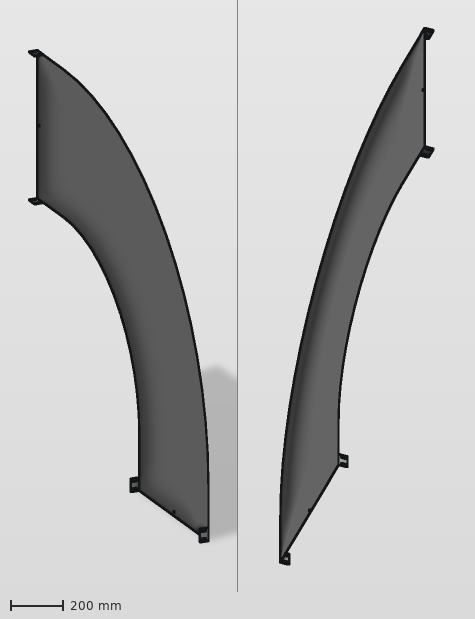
import cadquery as cq

overall = 1495.0
depth = 37.0
sheet = 1.0

width = 603.0
inner_radius = 661.0
end_setback = 0.3
outer_edge = overall - sheet
inner_edge = outer_edge - width
outer_radius = inner_radius + width
bend_start = inner_edge - inner_radius

hole_diameter = 7.0
hole_inset = 16.0

tab_length = 55.0
tab_corner = 5.0
slot_length = 20.0
slot_width = 9.0
slot_spacing = 36.0
slot_from_front = 16.0


def plate():
    """Quarter bend with a straight run at each end; front face on Y = 0."""
    return (
        cq.Workplane("XZ")
        .moveTo(end_setback, outer_edge)
        .lineTo(bend_start, outer_edge)
        .radiusArc((outer_edge, bend_start), outer_radius)
        .lineTo(outer_edge, end_setback)
        .lineTo(inner_edge, end_setback)
        .lineTo(inner_edge, bend_start)
        .radiusArc((bend_start, inner_edge), -inner_radius)
        .lineTo(end_setback, inner_edge)
        .close()
        .extrude(-sheet)
    )


def end_holes():
    """Hole cutters centred across the width at each end."""
    middle = (inner_edge + outer_edge) / 2
    return (
        cq.Workplane("XZ")
        .pushPoints([(hole_inset, middle), (middle, hole_inset)])
        .circle(hole_diameter / 2)
        .extrude(-sheet)
    )


def tab():
    """Slotted tab lying flat on Z = 0, reaching forward from the plate's back face."""
    blank = (
        cq.Workplane("XY")
        .box(tab_length, depth, sheet, centered=False)
        .edges("|Z and <Y")
        .fillet(tab_corner)
    )
    slots = (
        cq.Workplane("XY")
        .center(tab_length / 2, slot_from_front)
        .rarray(slot_spacing, 15, 2, 1)
        .slot2D(slot_length, slot_width, 90)
        .extrude(sheet)
    )
    return blank.cut(slots).translate((0, sheet - depth, 0))


result = plate().cut(end_holes())

for tab_start in (inner_edge - sheet, outer_edge):
    flat_tab = tab().translate((0, 0, tab_start))
    upright_tab = tab().rotate((0, 0, 0), (0, 1, 0), -90).translate((tab_start + sheet, 0, 0))
    result = result.union(flat_tab).union(upright_tab)